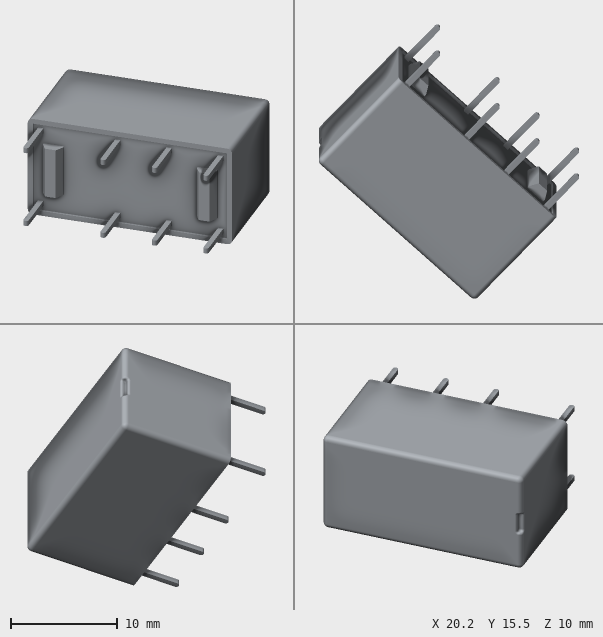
import cadquery as cq
import math

length = 20.2
height = 10.0
overall_depth = 15.5
body_depth = 11.25

edge_radius = 0.5
rim_width = 0.5
recess_depth = 0.25

foot_spacing = 15.2
foot_width = 2.0
foot_length = 5.0
foot_height = 0.8
foot_slope_angle = 60.0

notch_height = 2.05
notch_reach = 0.5
notch_depth = 0.55
notch_corner_radius = 0.25
notch_floor_radius = 0.15
notch_lip_radius = 0.2
touch_tolerance = 1e-4

grid_pitch = 2.54
pin_columns = [-3.5 * grid_pitch, -0.5 * grid_pitch, 1.5 * grid_pitch, 3.5 * grid_pitch]
pin_rows = [-1.5 * grid_pitch, 1.5 * grid_pitch]
pin_width = 0.52
pin_thickness = 0.52

rim_y = 0.0
floor_y = rim_y + recess_depth
back_y = rim_y + body_depth
foot_tip_y = rim_y - foot_height
pin_tip_y = back_y - overall_depth


def box_between(x_min, x_max, y_min, y_max, z_min, z_max):
    """Block given by its limits along each axis."""
    size = (x_max - x_min, y_max - y_min, z_max - z_min)
    return cq.Workplane("XY").box(*size, centered=False).translate((x_min, y_min, z_min))


def make_shell():
    """Block with rounded sides and back, and a shallow recess inside the rim."""
    block = box_between(-length / 2, length / 2, rim_y, back_y, -height / 2, height / 2)
    block = block.edges("|Y or >Y").fillet(edge_radius)
    inner_x = length / 2 - rim_width
    inner_z = height / 2 - rim_width
    return block.cut(box_between(-inner_x, inner_x, rim_y, floor_y, -inner_z, inner_z))


def lies_on(edge, skin):
    """True when the middle of the edge touches the skin."""
    middle = cq.Vertex.makeVertex(*edge.positionAt(0.5).toTuple())
    return skin.distance(middle) < touch_tolerance


def cut_notch(body):
    """Rounded pocket in the back edge at the middle of the -X end."""
    end_x = -length / 2
    wall_y = back_y - notch_reach
    floor_x = end_x + notch_depth
    half_height = notch_height / 2
    open_x = end_x - notch_depth
    open_y = back_y + notch_reach
    tool = box_between(open_x, floor_x, wall_y, open_y, -half_height, half_height)
    tool = tool.edges("|X and <Y").fillet(notch_corner_radius)
    tool = tool.faces(">X").edges("not >Y").fillet(notch_floor_radius)
    notched = body.cut(tool)
    skin = body.val().Shells()[0]
    near_notch = cq.selectors.BoxSelector(
        (open_x, wall_y - notch_reach, -notch_height),
        (floor_x + notch_depth, open_y, notch_height),
    )
    mouth = [edge for edge in notched.edges(near_notch).vals() if lies_on(edge, skin)]
    return notched.newObject(mouth).fillet(notch_lip_radius)


def make_foot(center_x):
    """Standoff bar with sloped sides above the rim and straight sides in the recess."""
    base = foot_width / 2
    tip = base - foot_height / math.tan(math.radians(foot_slope_angle))
    outline = [
        (-base, floor_y),
        (-base, rim_y),
        (-tip, foot_tip_y),
        (tip, foot_tip_y),
        (base, rim_y),
        (base, floor_y),
    ]
    bar = cq.Workplane("XY").polyline(outline).close().extrude(foot_length / 2, both=True)
    return bar.translate((center_x, 0, 0))


def make_pin(x, z):
    """Straight pin of rectangular section, standing on the recess floor, with a half-round tip."""
    half_width = pin_width / 2
    shank_y = pin_tip_y + half_width
    pin = (
        cq.Workplane("XY")
        .moveTo(-half_width, floor_y)
        .lineTo(-half_width, shank_y)
        .threePointArc((0, pin_tip_y), (half_width, shank_y))
        .lineTo(half_width, floor_y)
        .close()
        .extrude(pin_thickness / 2, both=True)
    )
    return pin.translate((x, 0, z))


housing = cut_notch(make_shell())
for side in (-1, 1):
    housing = housing.union(make_foot(side * foot_spacing / 2))

pins = [make_pin(x, z) for x in pin_columns for z in pin_rows]

result = cq.Compound.makeCompound([housing.val()] + [pin.val() for pin in pins])